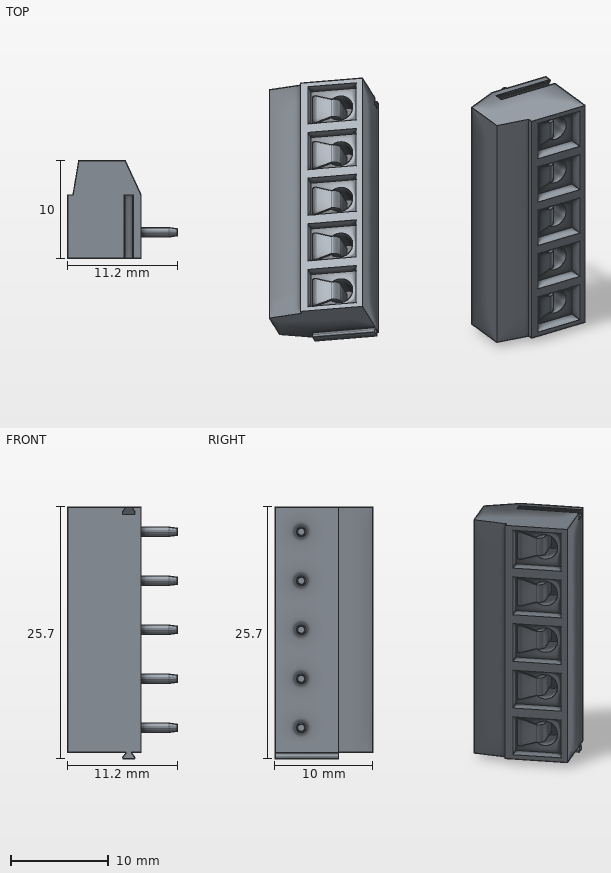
import cadquery as cq
import math

pole_count = 5
overall_height = 25.68
rail_height = 0.67
body_height = overall_height - rail_height
pole_pitch = body_height / pole_count
body_width = 7.5
body_depth = 10.0

shoulder_y = 6.5
ledge_width = 0.55
top_left_x = 1.13
top_right_x = 5.88

pin_y = 2.67
pin_diameter = 0.98
pin_tip_diameter = 0.72
pin_length = 3.7
pin_shank_length = 2.82

pocket_bottom_y = 0.65
pocket_top_y = 5.7
pocket_height = 4.05
pocket_depth = 1.5
entry_hole_diameter = 2.62
entry_hole_depth = 3.6

leaf_rise = 0.25
leaf_top_y = 5.55
leaf_flat_top_y = 5.14
leaf_flat_bottom_y = 3.5
leaf_bend_radius = 0.75
leaf_wide = 2.93
leaf_narrow = 1.87

joint_x = 6.25
rail_neck_width = 0.6
rail_neck_height = 0.08
rail_flank_width = 1.1
rail_corner_height = 0.25
rail_max_width = 1.23
rail_max_height = 0.13
rail_foot_width = 1.13
groove_depth = 0.75
groove_mouth_width = 0.98
groove_neck_width = 0.77
groove_neck_depth = 0.08
groove_flank_width = 1.2
groove_flank_depth = 0.44
groove_max_width = 1.3
groove_max_depth = 0.56
groove_floor_width = 1.13


def make_body():
    outline = [
        (0, 0),
        (body_width, 0),
        (body_width, shoulder_y),
        (top_right_x, body_depth),
        (top_left_x, body_depth),
        (ledge_width, shoulder_y),
        (0, shoulder_y),
    ]
    return cq.Workplane("XY").polyline(outline).close().extrude(body_height)


def joint_bar(half_outline):
    """Symmetric dovetail bar from the -Y face to the shoulder.

    half_outline lists (half width, Z) at the mouth, neck, flank end, widest point and flat end;
    the flank end is joined to the flat end by an arc through the widest point.
    """
    mouth, neck, flank, widest, flat = half_outline
    mirrored = [(-x, z) for x, z in half_outline]
    left_mouth, left_neck, left_flank, left_widest, left_flat = mirrored
    return (
        cq.Workplane("XZ", origin=(joint_x, 0, 0))
        .moveTo(*mouth)
        .lineTo(*neck)
        .lineTo(*flank)
        .threePointArc(widest, flat)
        .lineTo(*left_flat)
        .threePointArc(left_widest, left_flank)
        .lineTo(*left_neck)
        .lineTo(*left_mouth)
        .close()
        .extrude(-shoulder_y)
    )


def make_rail():
    """Dovetail under the block."""
    return joint_bar([
        (rail_neck_width / 2, 0),
        (rail_neck_width / 2, -rail_neck_height),
        (rail_flank_width / 2, rail_corner_height - rail_height),
        (rail_max_width / 2, rail_max_height - rail_height),
        (rail_foot_width / 2, -rail_height),
    ])


def make_groove():
    """Dovetail slot in the top face with a flared mouth."""
    return joint_bar([
        (groove_mouth_width / 2, body_height),
        (groove_neck_width / 2, body_height - groove_neck_depth),
        (groove_flank_width / 2, body_height - groove_flank_depth),
        (groove_max_width / 2, body_height - groove_max_depth),
        (groove_floor_width / 2, body_height - groove_depth),
    ])


def make_pin(z):
    outline = [
        (0, 0),
        (0, -pin_diameter / 2),
        (pin_shank_length, -pin_diameter / 2),
        (pin_length, -pin_tip_diameter / 2),
        (pin_length, 0),
    ]
    pin = cq.Workplane("XY").polyline(outline).close().revolve(360, (0, 0, 0), (1, 0, 0))
    return pin.translate((body_width, pin_y, z))


def make_entry(z):
    """Rectangular pocket with a round blind hole in its floor."""
    pocket = cq.Workplane("XY").box(
        pocket_depth, pocket_top_y - pocket_bottom_y, pocket_height, centered=(False, False, True)
    ).translate((0, pocket_bottom_y, z))
    hole = (
        cq.Workplane("YZ", origin=(pocket_depth, pin_y, z))
        .circle(entry_hole_diameter / 2)
        .extrude(entry_hole_depth)
    )
    return pocket.union(hole)


def make_leaf(z):
    """Side profile with a rounded upper end and a quarter bend, trimmed to the tapered face outline."""
    face_x = pocket_depth - leaf_rise
    root_x = pocket_depth + entry_hole_depth
    end_run = leaf_top_y - leaf_flat_top_y
    end_radius = (end_run**2 + leaf_rise**2) / (2 * leaf_rise)
    end_half_angle = math.asin(end_run / end_radius) / 2
    end_middle = (
        face_x + end_radius * (1 - math.cos(end_half_angle)),
        leaf_flat_top_y + end_radius * math.sin(end_half_angle),
    )
    leaf_bottom_y = leaf_flat_bottom_y - leaf_bend_radius
    bend_middle_factor = math.sin(math.pi / 4)
    bend_middle = (
        face_x + leaf_bend_radius * (1 - bend_middle_factor),
        leaf_flat_bottom_y - leaf_bend_radius * bend_middle_factor,
    )
    side_profile = (
        cq.Workplane("XY", origin=(0, 0, z))
        .moveTo(root_x, leaf_top_y)
        .lineTo(pocket_depth, leaf_top_y)
        .threePointArc(end_middle, (face_x, leaf_flat_top_y))
        .lineTo(face_x, leaf_flat_bottom_y)
        .threePointArc(bend_middle, (face_x + leaf_bend_radius, leaf_bottom_y))
        .lineTo(root_x, leaf_bottom_y)
        .close()
        .extrude(leaf_wide / 2, both=True)
    )
    face_outline = (
        cq.Workplane("YZ", origin=(0, 0, z))
        .polyline([
            (leaf_top_y, leaf_wide / 2),
            (leaf_flat_top_y, leaf_wide / 2),
            (leaf_flat_bottom_y, leaf_narrow / 2),
            (leaf_bottom_y, leaf_narrow / 2),
            (leaf_bottom_y, -leaf_narrow / 2),
            (leaf_flat_bottom_y, -leaf_narrow / 2),
            (leaf_flat_top_y, -leaf_wide / 2),
            (leaf_top_y, -leaf_wide / 2),
        ])
        .close()
        .extrude(root_x)
    )
    return side_profile.intersect(face_outline)


result = make_body().union(make_rail()).cut(make_groove())
for pole in range(pole_count):
    pole_z = (pole + 0.5) * pole_pitch
    result = result.cut(make_entry(pole_z)).union(make_leaf(pole_z)).union(make_pin(pole_z))